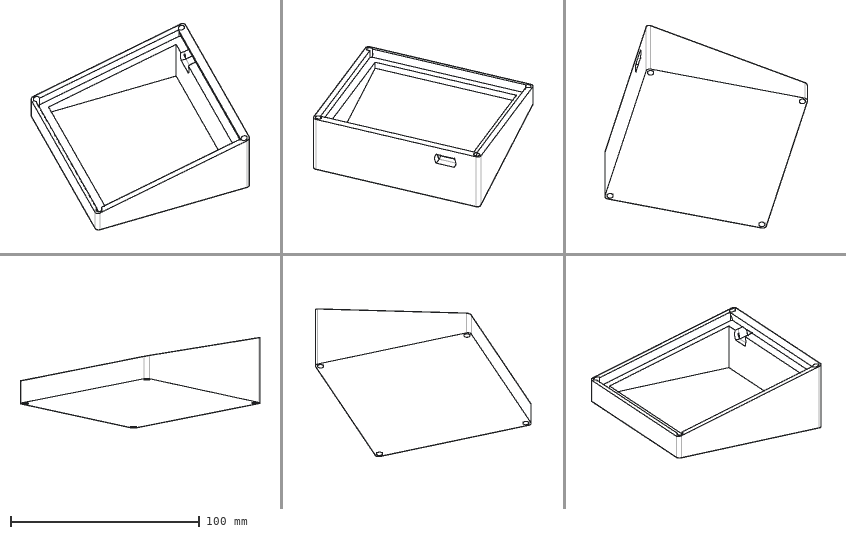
import cadquery as cq
import math

width = 94.0
depth = 88.3
back_height = 35.8
slope_angle = 15.0
corner_radius = 2.0

recess_depth = 4.8
recess_side_margin = 3.1
recess_front_margin = 1.9
recess_back_margin = 4.5

cavity_side_wall = 7.3
cavity_front_wall = 7.7
cavity_back_wall = 7.5
floor_thickness = 5.0

hole_diameter = 3.2
hole_side_inset = 2.5
hole_end_inset = 2.6

slot_center_x = 19.4
slot_width = 11.9
slot_height = 6.0
slot_end_bulge = 0.9
slot_level_length = 2.7

slope = math.radians(slope_angle)
front_height = back_height - depth * math.tan(slope)


def top_height(y):
    """Height of the sloping top face at a distance y from the front."""
    return front_height + y * math.tan(slope)


def make_body():
    side = [(0, 0), (depth, 0), (depth, back_height), (0, front_height)]
    wedge = cq.Workplane("YZ").polyline(side).close().extrude(width)
    upright_corners = wedge.edges("|Z")
    return upright_corners.fillet(corner_radius)


def make_recess():
    front_y = recess_front_margin
    back_y = depth - recess_back_margin
    length = (back_y - front_y) / math.cos(slope)
    top_face = cq.Plane(
        origin=(recess_side_margin, front_y, top_height(front_y)),
        xDir=(1, 0, 0),
        normal=(0, -math.sin(slope), math.cos(slope)),
    )
    recess_width = width - 2 * recess_side_margin
    sketch = cq.Workplane(top_face).rect(recess_width, length, centered=False)
    return sketch.extrude(-recess_depth)


def make_cavity():
    cavity_width = width - 2 * cavity_side_wall
    cavity_depth = depth - cavity_front_wall - cavity_back_wall
    side = [
        (0, floor_thickness),
        (cavity_depth, floor_thickness),
        (cavity_depth, top_height(depth - cavity_back_wall)),
        (0, top_height(cavity_front_wall)),
    ]
    profile = cq.Workplane("YZ", origin=(cavity_side_wall, cavity_front_wall, 0)).polyline(side)
    return profile.close().extrude(cavity_width)


def make_holes():
    x_places = (hole_side_inset, width - hole_side_inset)
    y_places = (hole_end_inset, depth - hole_end_inset)
    centers = [(x, y) for x in x_places for y in y_places]
    return cq.Workplane("XY").pushPoints(centers).circle(hole_diameter / 2).extrude(back_height)


def slot_prism(start_y, floor_z, tilt, length):
    """Bow-ended slot running back from its front floor edge and rising by tilt."""
    section = cq.Plane(
        origin=(slot_center_x, start_y, floor_z),
        xDir=(1, 0, 0),
        normal=(0, -math.cos(tilt), -math.sin(tilt)),
    )
    half_width = slot_width / 2
    half_flat = half_width - slot_end_bulge
    outline = (
        cq.Workplane(section)
        .moveTo(-half_flat, 0)
        .lineTo(half_flat, 0)
        .threePointArc((half_width, slot_height / 2), (half_flat, slot_height))
        .lineTo(-half_flat, slot_height)
        .threePointArc((-half_width, slot_height / 2), (-half_flat, 0))
        .close()
    )
    return outline.extrude(-length)


def make_slot():
    level_front_y = depth - cavity_back_wall
    joint_y = level_front_y + slot_level_length
    joint_floor_z = top_height(joint_y) - (recess_depth + slot_height) / math.cos(slope)
    level_part = slot_prism(level_front_y, joint_floor_z, 0, slot_level_length)
    rising_part = slot_prism(joint_y, joint_floor_z, slope, cavity_back_wall)
    return level_part.union(rising_part)


result = make_body().cut(make_recess()).cut(make_cavity()).cut(make_slot()).cut(make_holes())